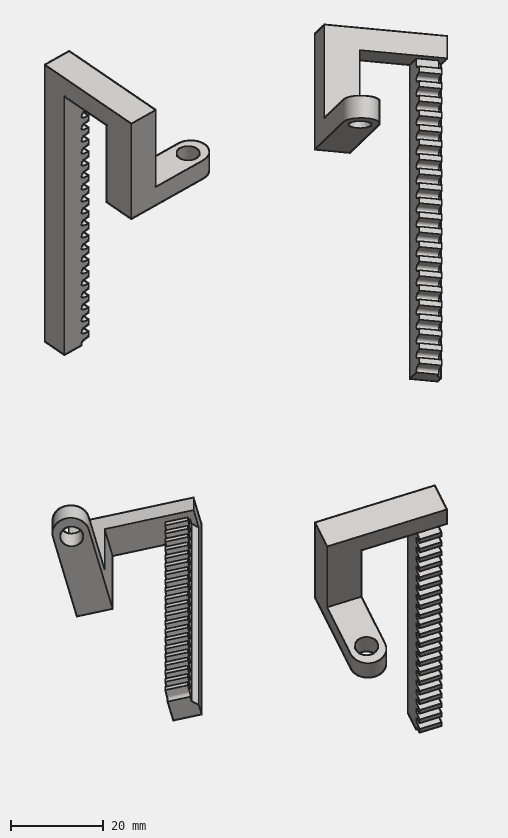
import cadquery as cq
import math

total_width = 27.85
total_height = 76.19
frame_depth = 7.15
total_depth = 25.0

bar_height = 5.08
rack_width = 6.35
post_width = 8.0
post_height = 26.25

arm_thickness = 5.08
eye_radius = post_width / 2
eye_hole_diameter = 5.0
eye_tip_wall = 2.3

shoulder_start = 2.5
shoulder_end = 3.9
shoulder_recess = 1.27

tooth_count = 21
tooth_pitch = 3.3
tooth_depth = 2.13
flank_angle = math.radians(10)
gap_half_width = 1.0
lowest_gap_height = 0.4

bar_bottom = total_height - bar_height
post_left = total_width - post_width
post_bottom = total_height - post_height
post_center = total_width - post_width / 2
root_y = frame_depth - tooth_depth
eye_center_y = total_depth - eye_radius
eye_hole_y = total_depth - eye_tip_wall - eye_hole_diameter / 2


def block(x_start, x_end, y_start, y_end, z_start, z_end):
    """Box between two opposite corners."""
    return cq.Workplane("XY").box(
        x_end - x_start, y_end - y_start, z_end - z_start, centered=False
    ).translate((x_start, y_start, z_start))


def make_rack_blank():
    """Upright strip with the sloped shoulder, before the teeth are cut."""
    return (
        cq.Workplane("XY")
        .moveTo(0, 0)
        .lineTo(rack_width, 0)
        .lineTo(rack_width, frame_depth)
        .lineTo(shoulder_recess, frame_depth)
        .lineTo(shoulder_recess, shoulder_end)
        .lineTo(0, shoulder_start)
        .close()
        .extrude(bar_bottom)
    )


def make_tooth_gap(center_z):
    """Tapered gap with a full-round root, running across the strip along X."""
    root_radius = (
        (gap_half_width - tooth_depth * math.tan(flank_angle))
        * math.cos(flank_angle) / (1 - math.sin(flank_angle))
    )
    tangent_y = root_y + root_radius * (1 - math.sin(flank_angle))
    tangent_half_width = root_radius * math.cos(flank_angle)
    return (
        cq.Workplane("YZ")
        .moveTo(frame_depth, center_z - gap_half_width)
        .lineTo(tangent_y, center_z - tangent_half_width)
        .threePointArc((root_y, center_z), (tangent_y, center_z + tangent_half_width))
        .lineTo(frame_depth, center_z + gap_half_width)
        .close()
        .extrude(rack_width)
    )


def make_rack():
    """Toothed strip; the end gaps open onto the bottom face and the top bar."""
    rack = make_rack_blank()
    for index in range(tooth_count + 1):
        rack = rack.cut(make_tooth_gap(lowest_gap_height + index * tooth_pitch))
    highest_gap_height = lowest_gap_height + tooth_count * tooth_pitch
    bottom_relief = block(0, rack_width, root_y, frame_depth, 0, lowest_gap_height)
    top_relief = block(0, rack_width, root_y, frame_depth, highest_gap_height, bar_bottom)
    return rack.cut(bottom_relief).cut(top_relief)


def make_arm_cylinder(center_y, radius):
    """Vertical cylinder on the arm's centre line, as tall as the arm is thick."""
    return (
        cq.Workplane("XY", origin=(post_center, center_y, post_bottom))
        .circle(radius)
        .extrude(arm_thickness)
    )


def make_arm():
    """Round-ended arm at the foot of the post, with a vertical eye hole."""
    straight = block(
        post_left, total_width, 0, eye_center_y, post_bottom, post_bottom + arm_thickness
    )
    rounded_end = make_arm_cylinder(eye_center_y, eye_radius)
    eye_hole = make_arm_cylinder(eye_hole_y, eye_hole_diameter / 2)
    return straight.union(rounded_end).cut(eye_hole)


top_bar = block(0, total_width, 0, frame_depth, bar_bottom, total_height)
post = block(post_left, total_width, 0, frame_depth, post_bottom, total_height)
result = top_bar.union(post).union(make_rack()).union(make_arm())